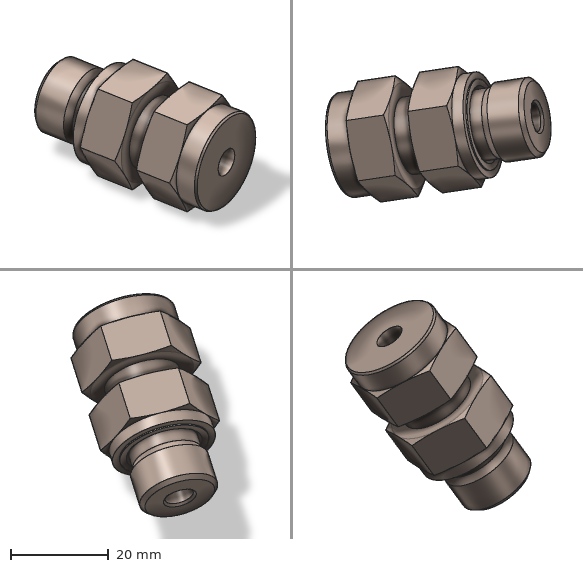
import cadquery as cq
import math

across_flats = 22.0
across_corners = across_flats / math.cos(math.pi / 6)
bore_diameter = 6.0
hex_cone_angle = 15.0

stud_diameter = 16.66
stud_end_chamfer = 0.9
stud_length = 7.8
relief_diameter = 14.8
relief_start = 9.4
bore_mouth_diameter = 7.0

seal_face_diameter = 19.0
seal_face_start = 11.75
undercut_diameter = 16.2
collar_start = 12.05
collar_diameter = across_flats

body_hex_start = 14.55
body_hex_end = 24.0
neck_diameter = 16.1

nut_start = 28.5
nut_hex_end = 37.65
nut_end = 42.64
nut_sleeve_diameter = 21.8
nut_edge_chamfer_length = 0.5
nut_edge_chamfer_depth = 0.3
neck_end = nut_hex_end


def cylinder(start, end, diameter):
    """Solid cylinder along X between two stations."""
    return cq.Workplane("YZ", origin=(start, 0, 0)).circle(diameter / 2).extrude(end - start)


def revolve_about_x(points):
    """Turned solid from a closed (x, radius) outline."""
    return cq.Workplane("XY").polyline(points).close().revolve(360, (0, 0, 0), (1, 0, 0))


def chamfered_hexagon(start, end):
    """Hexagon with flats on top and bottom, its corners turned off conically at both ends."""
    prism = cq.Workplane("YZ", origin=(start, 0, 0)).polygon(6, across_corners).extrude(end - start)
    face_radius = across_flats / 2
    corner_radius = across_corners / 2
    cone_length = (corner_radius - face_radius) * math.tan(math.radians(hex_cone_angle))
    envelope = revolve_about_x([
        (start, 0),
        (start, face_radius),
        (start + cone_length, corner_radius),
        (end - cone_length, corner_radius),
        (end, face_radius),
        (end, 0),
    ])
    return prism.intersect(envelope)


def make_fitting_body():
    """Stud, undercut sealing collar, hexagon and neck with a through bore."""
    stud_radius = stud_diameter / 2
    relief_radius = relief_diameter / 2
    undercut_radius = undercut_diameter / 2
    seal_radius = seal_face_diameter / 2
    collar_radius = collar_diameter / 2
    undercut_end = seal_face_start + undercut_radius - relief_radius
    turned_end = revolve_about_x([
        (0, 0),
        (0, stud_radius - stud_end_chamfer),
        (stud_end_chamfer, stud_radius),
        (stud_length, stud_radius),
        (relief_start, relief_radius),
        (undercut_end, relief_radius),
        (seal_face_start, undercut_radius),
        (seal_face_start, seal_radius),
        (collar_start, seal_radius),
        (collar_start, collar_radius),
        (body_hex_start, collar_radius),
        (body_hex_start, 0),
    ])
    hexagon = chamfered_hexagon(body_hex_start, body_hex_end)
    neck = cylinder(body_hex_end, neck_end, neck_diameter)
    bore = cylinder(0, neck_end, bore_diameter)
    mouth_depth = (bore_mouth_diameter - bore_diameter) / 2
    bore_mouth = revolve_about_x([
        (0, 0),
        (0, bore_mouth_diameter / 2),
        (mouth_depth, bore_diameter / 2),
        (mouth_depth, 0),
    ])
    return turned_end.union(hexagon).union(neck).cut(bore).cut(bore_mouth)


def make_nut():
    """Hexagon with a round sleeve, recessed for the neck and bored through."""
    sleeve_radius = nut_sleeve_diameter / 2
    sleeve = revolve_about_x([
        (nut_hex_end, 0),
        (nut_hex_end, sleeve_radius),
        (nut_end - nut_edge_chamfer_length, sleeve_radius),
        (nut_end, sleeve_radius - nut_edge_chamfer_depth),
        (nut_end, 0),
    ])
    neck_recess = cylinder(nut_start, neck_end, neck_diameter)
    bore = cylinder(neck_end, nut_end, bore_diameter)
    return chamfered_hexagon(nut_start, nut_hex_end).union(sleeve).cut(neck_recess).cut(bore)


fitting_body = make_fitting_body()
nut = make_nut()

result = cq.Compound.makeCompound([fitting_body.val(), nut.val()])